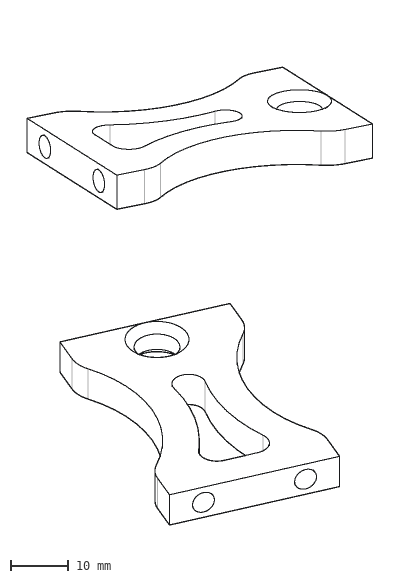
import cadquery as cq
import math

length = 50.8
width = 31.75
thickness = 6.35

waist_half_width = 8.9
waist_radius = 25.4
shoulder_radius = 6.35
arc_center_x = waist_half_width + waist_radius

side_wall = 6.35
window_side_radius = waist_radius + side_wall
window_bottom_y = -19.05
window_corner_radius = side_wall / 2
window_top_center_y = 5.1

hole_y = 19.8
hole_radius = 3.95
countersink_radius = 5.55
countersink_angle = 90.0

drill_spacing = 19.05
drill_radius = 2.05
drill_depth = 7.6
drill_tip_angle = 118.0


def point_toward(start, end, distance):
    """Point at the given distance from start along the line to end."""
    span = math.dist(start, end)
    return (
        start[0] + (end[0] - start[0]) * distance / span,
        start[1] + (end[1] - start[1]) * distance / span,
    )


def waist_cutter():
    """Solid removed from the +X side, with rounded shoulders left on the plate."""
    edge_x = width / 2
    shoulder_x = edge_x - shoulder_radius
    shoulder_y = math.sqrt((waist_radius + shoulder_radius) ** 2 - (arc_center_x - shoulder_x) ** 2)
    shoulder = (shoulder_x, shoulder_y)
    tangent_x, tangent_y = point_toward(shoulder, (arc_center_x, 0), shoulder_radius)
    half_angle = math.atan2(tangent_y - shoulder_y, tangent_x - shoulder_x) / 2
    middle_x = shoulder_x + shoulder_radius * math.cos(half_angle)
    middle_offset = shoulder_radius * math.sin(half_angle)
    return (
        cq.Workplane("XY")
        .moveTo(edge_x, shoulder_y)
        .threePointArc((middle_x, shoulder_y + middle_offset), (tangent_x, tangent_y))
        .threePointArc((waist_half_width, 0), (tangent_x, -tangent_y))
        .threePointArc((middle_x, -shoulder_y - middle_offset), (edge_x, -shoulder_y))
        .close()
        .extrude(thickness)
    )


def window_cutter():
    """Keyhole-shaped window with tangent rounded ends."""
    arc_center = (arc_center_x, 0)
    top_center = (0, window_top_center_y)
    top_radius = math.dist(top_center, arc_center) - window_side_radius
    top_x, top_y = point_toward(top_center, arc_center, top_radius)

    corner_y = window_bottom_y + window_corner_radius
    corner_reach = window_side_radius + window_corner_radius
    corner_x = arc_center_x - math.sqrt(corner_reach**2 - corner_y**2)
    side_x, side_y = point_toward((corner_x, corner_y), arc_center, window_corner_radius)
    side_angle = math.atan2(side_y - corner_y, side_x - corner_x)
    middle_angle = (side_angle - math.pi / 2) / 2
    corner_middle_x = corner_x + window_corner_radius * math.cos(middle_angle)
    corner_middle_y = corner_y + window_corner_radius * math.sin(middle_angle)
    narrowest_x = arc_center_x - window_side_radius
    return (
        cq.Workplane("XY")
        .moveTo(-top_x, top_y)
        .threePointArc((0, window_top_center_y + top_radius), (top_x, top_y))
        .threePointArc((narrowest_x, 0), (side_x, side_y))
        .threePointArc((corner_middle_x, corner_middle_y), (corner_x, window_bottom_y))
        .lineTo(-corner_x, window_bottom_y)
        .threePointArc((-corner_middle_x, corner_middle_y), (-side_x, side_y))
        .threePointArc((-narrowest_x, 0), (-top_x, top_y))
        .close()
        .extrude(thickness)
    )


def drill_cutter(x):
    """Round hole with a conical tip, entering from the lower end face."""
    tip_length = drill_radius / math.tan(math.radians(drill_tip_angle / 2))
    profile = [(0, 0), (drill_radius, 0), (drill_radius, drill_depth), (0, drill_depth + tip_length)]
    drill = cq.Workplane("XY").polyline(profile).close().revolve(360, (0, 0, 0), (0, 1, 0))
    return drill.translate((x, -length / 2, thickness / 2))


def countersunk_hole_cutter():
    """Through hole with matching countersinks on the top and bottom faces."""
    sink_depth = (countersink_radius - hole_radius) / math.tan(math.radians(countersink_angle / 2))
    profile = [
        (0, 0),
        (countersink_radius, 0),
        (hole_radius, sink_depth),
        (hole_radius, thickness - sink_depth),
        (countersink_radius, thickness),
        (0, thickness),
    ]
    hole = cq.Workplane("XZ").polyline(profile).close().revolve(360, (0, 0, 0), (0, 1, 0))
    return hole.translate((0, hole_y, 0))


plate = cq.Workplane("XY").box(width, length, thickness, centered=(True, True, False))

waist = waist_cutter()
plate = plate.cut(waist).cut(waist.mirror("YZ"))
plate = plate.cut(window_cutter())

plate = plate.cut(countersunk_hole_cutter())

for drill_x in (-drill_spacing / 2, drill_spacing / 2):
    plate = plate.cut(drill_cutter(drill_x))

result = plate